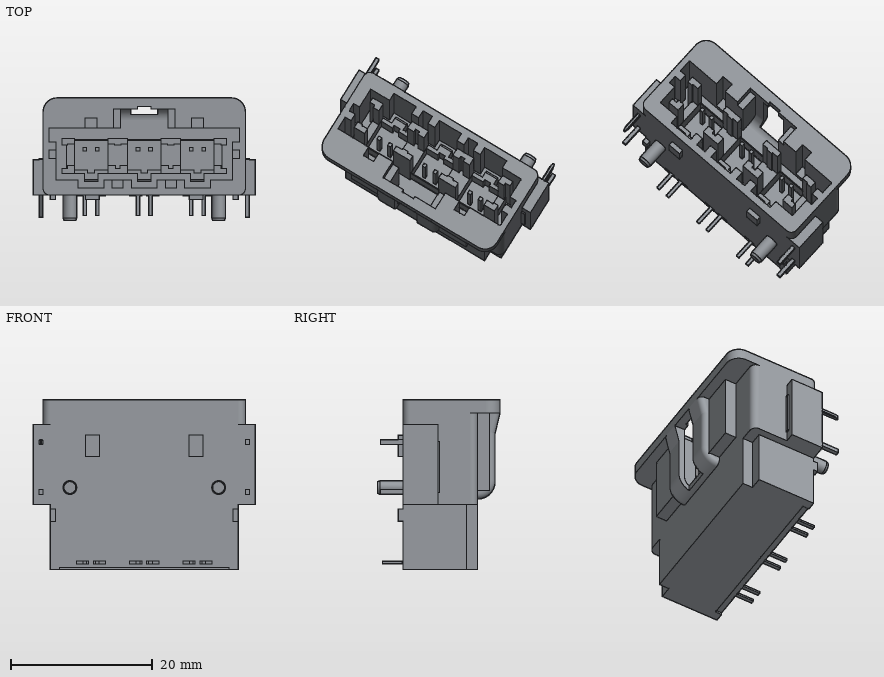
import cadquery as cq
import math


HEIGHT = 24.0
SHROUD_HALF_WIDTH = 14.3
SHROUD_DEPTH = 10.55
SHROUD_CORNER_RADIUS = 1.0
BODY_HALF_WIDTH = 13.3
BODY_SIDE_DEPTH = 9.0
BODY_REAR_HALF_WIDTH = 11.5
STEP_Z = 9.2
RIM_DEPTH = 13.75
RIM_THICKNESS = 1.85
RIM_CORNER_RADIUS = 2.0
RIM_Z = HEIGHT - RIM_THICKNESS
UNDERCUT_HALF_WIDTH = 12.0
UNDERCUT_HEIGHT = 0.33
UNDERCUT_DEPTH = 1.0

EAR_HALF_WIDTH = 31.4 / 2
EAR_DEPTH = 5.0
EAR_TOP_Z = 20.5
NAIL_X = 14.57
NAIL_THICKNESS = 0.55
NAIL_PLATE_DEPTH = 5.2
NAIL_PLATE_Z = (10.9, 18.1)
NAIL_LEG_LENGTH = 3.15
NAIL_LEG_HEIGHT = 0.7
NAIL_LEG_Z = (11.0, 18.0)
NAIL_TIP_LENGTH = 0.65
NAIL_TIP_INSET = 0.18
NAIL_EDGE_CHAMFER = 0.12

LATCH_HALF_WIDTH = 5.0
LATCH_DEPTH = 13.05
LATCH_EDGE_RADIUS = 0.8
LATCH_BEND_RADIUS = LATCH_DEPTH - SHROUD_DEPTH
LATCH_BOTTOM_Z = 9.95
LATCH_FLARE_DEPTH = RIM_DEPTH
LATCH_FLARE_Z = 19.25
LATCH_WALL = 0.9
POCKET_DEPTH = LATCH_DEPTH - LATCH_WALL
POCKET_HALF_WIDTH = 3.33
POCKET_MOUTH_HALF_WIDTH = 4.35
POCKET_FLOOR_Z = LATCH_BOTTOM_Z + LATCH_WALL
WINDOW_HALF_WIDTH = 1.89
WINDOW_START_Y = 11.4
WINDOW_NOTCH_HALF_WIDTH = 0.95
WINDOW_NOTCH_DEPTH = 12.5
REAR_BLOCK_HALF_WIDTH = 9.5
REAR_BLOCK_DEPTH = LATCH_DEPTH - LATCH_EDGE_RADIUS
REAR_BLOCK_BOTTOM_Z = 11.2

MODULE_PITCH = 7.5
MODULE_X = (-MODULE_PITCH, 0.0, MODULE_PITCH)
CAVITY_HALF_WIDTH = 12.45
CAVITY_Y = (2.17, 9.45)
CAVITY_FLOOR_Z = POCKET_FLOOR_Z
SIDE_RECESS_HALF_WIDTH = 13.42
SIDE_RECESS_START_Y = 7.5
KEYWAY_HALF_WIDTH = 1.83
KEYWAY_START_Y = 0.98
SLOT_FLOOR_Z = 12.0
SIDE_SLOT_Y = (5.2, 6.4)
REAR_SLOT_HALF_WIDTH = 0.84
REAR_SLOT_END_Y = 10.87
FRONT_SLOT_HALF_WIDTH = 0.77

BASE_HEIGHT = 3.5
BASE_TOP_Z = CAVITY_FLOOR_Z + BASE_HEIGHT
BASE_HALF_WIDTH = 10.95
BASE_Y = (3.03, 7.85)
TONGUE_HALF_WIDTH = 0.95
TONGUE_TIP_Y = 1.93
TONGUE_CHAMFER = 0.27
SOCKET_HALF_WIDTH = 2.35
SOCKET_Y = (3.58, 7.72)
SOCKET_KEY_HALF_WIDTH = 0.48
SOCKET_KEY_Y = 3.15

POST_TOP_Z = 23.7
POST_FRONT_Y = BASE_Y[0]
POST_REAR_Y = 8.03
TOWER_HALF_WIDTH = 1.38
TOWER_X = (-MODULE_PITCH / 2, MODULE_PITCH / 2)
REAR_TOWER_FACE_Y = 7.25
REAR_RIDGE_Y = 7.06
REAR_RIDGE_HALF_WIDTH = 0.46
FRONT_TOWER_FACE_Y = 4.2
FRONT_NOTCH_Y = 3.75
FRONT_NOTCH_HALF_WIDTH = 0.32
POST_X = (9.88, 10.82, 11.6)
POST_FRONT_STEP_Y = 3.78

TERMINAL_OFFSET = 0.88
CONTACT_SIZE = 0.5
CONTACT_Y = 6.5
CONTACT_TOP_Z = 18.0
TAIL_Z = (0.83, 1.2)
TAIL_WIDTH = 0.5
TAIL_LENGTH = 2.9
TAIL_PLATE_X = (0.35, 2.06)
TAIL_PLATE_LENGTH = 0.14

PEG_DIAMETER = 1.95
PEG_LENGTH = 3.6
PEG_X = 10.5
PEG_Z = 11.6
PEG_CHAMFER_LENGTH = 0.38
PEG_CHAMFER_INSET = 0.14
PAD_HEIGHT = 0.65
UPPER_PAD_X = (6.34, 8.3)
UPPER_PAD_Z = (15.95, 19.0)
LOWER_PAD_X = (12.5, BODY_HALF_WIDTH)
LOWER_PAD_Z = (6.83, 8.58)


def box(x_range, y_range, z_range):
    """Axis-aligned block between the given limits."""
    sizes = [limits[1] - limits[0] for limits in (x_range, y_range, z_range)]
    corner = (x_range[0], y_range[0], z_range[0])
    return cq.Workplane("XY").box(*sizes, centered=False).translate(corner)


def centred(half_width, middle=0.0):
    """Limits along one axis of a feature centred on the given middle."""
    return (middle - half_width, middle + half_width)


def both_sides(shape):
    """The shape together with its mirror image across X = 0."""
    return shape.union(shape.mirror("YZ"))


def make_shell():
    """Solid outside shape: lower body, shroud, rim, ears and rear block."""
    shell = box(centred(BODY_HALF_WIDTH), (0, BODY_SIDE_DEPTH), (0, STEP_Z))
    shell = shell.union(box(centred(BODY_REAR_HALF_WIDTH), (0, SHROUD_DEPTH), (0, STEP_Z)))
    shroud = box(centred(SHROUD_HALF_WIDTH), (0, SHROUD_DEPTH), (STEP_Z, HEIGHT))
    shell = shell.union(shroud.edges("|Z").fillet(SHROUD_CORNER_RADIUS))
    rim = box(centred(SHROUD_HALF_WIDTH), (0, RIM_DEPTH), (RIM_Z, HEIGHT))
    rim = rim.edges("|Z and >Y").fillet(RIM_CORNER_RADIUS)
    rim = rim.edges("|Z and <Y").fillet(SHROUD_CORNER_RADIUS)
    shell = shell.union(rim)
    ear_x = (BODY_HALF_WIDTH, EAR_HALF_WIDTH)
    shell = shell.union(both_sides(box(ear_x, (0, EAR_DEPTH), (STEP_Z, EAR_TOP_Z))))
    rear_y = (BODY_SIDE_DEPTH, REAR_BLOCK_DEPTH)
    shell = shell.union(box(centred(REAR_BLOCK_HALF_WIDTH), rear_y, (REAR_BLOCK_BOTTOM_Z, RIM_Z)))
    undercut = box(centred(UNDERCUT_HALF_WIDTH), (0, UNDERCUT_DEPTH), (0, UNDERCUT_HEIGHT))
    return shell.cut(undercut)


def bent_profile(half_width, depth, bend_radius, start_y, top_z, flare=None):
    """Block behind the shroud whose rear wall curves forward into its floor."""
    bend_z = LATCH_BOTTOM_Z + LATCH_BEND_RADIUS
    diagonal = bend_radius * math.sqrt(0.5)
    profile = cq.Workplane("YZ").moveTo(start_y, top_z)
    if flare:
        profile = profile.lineTo(flare[0], top_z).lineTo(depth, flare[1])
    else:
        profile = profile.lineTo(depth, top_z)
    profile = profile.lineTo(depth, bend_z)
    middle = (SHROUD_DEPTH + diagonal, bend_z - diagonal)
    profile = profile.threePointArc(middle, (SHROUD_DEPTH, bend_z - bend_radius))
    profile = profile.lineTo(start_y, bend_z - bend_radius).close()
    return profile.extrude(half_width, both=True)


def make_latch_housing():
    """Latch housing with a flared top and rounded outer edges."""
    flare = (LATCH_FLARE_DEPTH, LATCH_FLARE_Z)
    housing = bent_profile(
        LATCH_HALF_WIDTH, LATCH_DEPTH, LATCH_BEND_RADIUS, BODY_SIDE_DEPTH, RIM_Z, flare
    )
    side_edges = housing.faces("<X or >X").edges("not(<Y or >Z)")
    return side_edges.fillet(LATCH_EDGE_RADIUS)


def make_cavity():
    """Keyed mating cavity with its slots and the open latch pocket."""
    depth_z = (CAVITY_FLOOR_Z, HEIGHT)
    slot_z = (SLOT_FLOOR_Z, HEIGHT)
    cavity = box(centred(CAVITY_HALF_WIDTH), CAVITY_Y, depth_z)
    cavity = cavity.union(
        box(centred(SIDE_RECESS_HALF_WIDTH), (SIDE_RECESS_START_Y, CAVITY_Y[1]), depth_z)
    )
    cavity = cavity.union(box(centred(SIDE_RECESS_HALF_WIDTH), SIDE_SLOT_Y, slot_z))
    for x in MODULE_X:
        cavity = cavity.union(box(centred(KEYWAY_HALF_WIDTH, x), (KEYWAY_START_Y, CAVITY_Y[0]), depth_z))
    for x in TOWER_X:
        cavity = cavity.union(box(centred(FRONT_SLOT_HALF_WIDTH, x), (KEYWAY_START_Y, CAVITY_Y[0]), slot_z))
    for x in (-MODULE_PITCH, MODULE_PITCH):
        cavity = cavity.union(box(centred(REAR_SLOT_HALF_WIDTH, x), (CAVITY_Y[1], REAR_SLOT_END_Y), slot_z))
    pocket = bent_profile(
        POCKET_HALF_WIDTH, POCKET_DEPTH, LATCH_BEND_RADIUS - LATCH_WALL, CAVITY_Y[1], HEIGHT
    )
    mouth = box(centred(POCKET_MOUTH_HALF_WIDTH), (CAVITY_Y[1], POCKET_DEPTH), (RIM_Z, HEIGHT))
    return cavity.union(pocket).union(mouth)


def make_window():
    """Opening through the latch housing, with a relief notch up through the rim."""
    opening = box(
        centred(WINDOW_HALF_WIDTH), (WINDOW_START_Y, RIM_DEPTH), (LATCH_BOTTOM_Z, RIM_Z)
    )
    notch = box(
        centred(WINDOW_NOTCH_HALF_WIDTH), (WINDOW_START_Y, WINDOW_NOTCH_DEPTH), (LATCH_BOTTOM_Z, HEIGHT)
    )
    return opening.union(notch)


def make_base():
    """Raised base on the cavity floor with a keyed socket and a tongue per module."""
    height_z = (CAVITY_FLOOR_Z, BASE_TOP_Z)
    base = box(centred(BASE_HALF_WIDTH), BASE_Y, height_z)
    for x in MODULE_X:
        tongue = box(centred(TONGUE_HALF_WIDTH, x), (TONGUE_TIP_Y, BASE_Y[0]), height_z)
        tongue = tongue.edges("<Y and >Z").chamfer(TONGUE_CHAMFER)
        socket = box(centred(SOCKET_HALF_WIDTH, x), SOCKET_Y, height_z)
        socket_key = box(centred(SOCKET_KEY_HALF_WIDTH, x), (SOCKET_KEY_Y, SOCKET_Y[0]), height_z)
        base = base.union(tongue).cut(socket).cut(socket_key)
    return base


def make_posts():
    """Guide towers between the modules and stepped posts at the two ends."""
    height_z = (CAVITY_FLOOR_Z, POST_TOP_Z)
    inner_x, step_x, outer_x = POST_X
    posts = box((inner_x, outer_x), (REAR_TOWER_FACE_Y, POST_REAR_Y), height_z)
    posts = posts.union(box((step_x, outer_x), (REAR_RIDGE_Y, POST_REAR_Y), height_z))
    posts = posts.union(box((inner_x, outer_x), (POST_FRONT_Y, POST_FRONT_STEP_Y), height_z))
    posts = posts.union(box((inner_x, step_x), (POST_FRONT_Y, FRONT_TOWER_FACE_Y), height_z))
    posts = both_sides(posts)
    for x in TOWER_X:
        rear = box(centred(TOWER_HALF_WIDTH, x), (REAR_TOWER_FACE_Y, POST_REAR_Y), height_z)
        ridge = box(centred(REAR_RIDGE_HALF_WIDTH, x), (REAR_RIDGE_Y, POST_REAR_Y), height_z)
        front = box(centred(TOWER_HALF_WIDTH, x), (POST_FRONT_Y, FRONT_TOWER_FACE_Y), height_z)
        notch = box(centred(FRONT_NOTCH_HALF_WIDTH, x), (FRONT_NOTCH_Y, FRONT_TOWER_FACE_Y), height_z)
        posts = posts.union(rear).union(ridge).union(front.cut(notch))
    return posts


def make_terminals():
    """Contact pins in the cavity and solder tails with their wider plates."""
    half_contact = CONTACT_SIZE / 2
    contact_y = (CONTACT_Y - half_contact, CONTACT_Y + half_contact)
    terminals = cq.Workplane("XY")
    for module_x in MODULE_X:
        for side in (-1, 1):
            x = module_x + side * TERMINAL_OFFSET
            plate_x = sorted(module_x + side * offset for offset in TAIL_PLATE_X)
            terminals = terminals.add(
                box(centred(half_contact, x), contact_y, (CAVITY_FLOOR_Z, CONTACT_TOP_Z))
            )
            terminals = terminals.add(box(centred(TAIL_WIDTH / 2, x), (-TAIL_LENGTH, 0), TAIL_Z))
            terminals = terminals.add(box(plate_x, (-TAIL_PLATE_LENGTH, 0), TAIL_Z))
    return terminals.combine()


def make_nails():
    """Retention plates behind the ears with two solder legs each."""
    half = NAIL_THICKNESS / 2
    nail_x = centred(half, NAIL_X)
    nails = box(nail_x, (EAR_DEPTH, NAIL_PLATE_DEPTH), NAIL_PLATE_Z)
    for z in NAIL_LEG_Z:
        leg_z = centred(NAIL_LEG_HEIGHT / 2, z)
        nails = nails.union(box(nail_x, (-NAIL_LEG_LENGTH, 0), leg_z))
    nails = both_sides(nails)

    shoulder_y = NAIL_TIP_LENGTH - NAIL_LEG_LENGTH
    tip_half = half - NAIL_TIP_INSET
    pointed_leg = (
        cq.Workplane("XY")
        .polyline(
            [
                (-half, 0),
                (half, 0),
                (half, shoulder_y),
                (tip_half, -NAIL_LEG_LENGTH),
                (-tip_half, -NAIL_LEG_LENGTH),
                (-half, shoulder_y),
            ]
        )
        .close()
        .extrude(NAIL_LEG_HEIGHT)
        .edges("|Y")
        .chamfer(NAIL_EDGE_CHAMFER)
        .translate((-NAIL_X, 0, NAIL_LEG_Z[1] - NAIL_LEG_HEIGHT / 2))
    )
    plain_leg = box(
        centred(half, -NAIL_X),
        (-NAIL_LEG_LENGTH, 0),
        centred(NAIL_LEG_HEIGHT / 2, NAIL_LEG_Z[1]),
    )
    return nails.cut(plain_leg).union(pointed_leg)


def make_mounting_features():
    """Locating pegs and stand-off pads on the mounting face."""
    radius = PEG_DIAMETER / 2
    shoulder = PEG_LENGTH - PEG_CHAMFER_LENGTH
    peg = (
        cq.Workplane("XY")
        .polyline(
            [
                (0, 0),
                (radius, 0),
                (radius, -shoulder),
                (radius - PEG_CHAMFER_INSET, -PEG_LENGTH),
                (0, -PEG_LENGTH),
            ]
        )
        .close()
        .revolve(360, (0, 0, 0), (0, 1, 0))
        .translate((PEG_X, 0, PEG_Z))
    )
    upper_pad = box(UPPER_PAD_X, (-PAD_HEIGHT, 0), UPPER_PAD_Z)
    lower_pad = box(LOWER_PAD_X, (-PAD_HEIGHT, 0), LOWER_PAD_Z)
    return both_sides(peg.union(upper_pad).union(lower_pad))


result = make_shell().union(make_latch_housing())
result = result.cut(make_cavity()).cut(make_window())
for feature in (make_base(), make_posts(), make_terminals(), make_nails(), make_mounting_features()):
    result = result.union(feature)